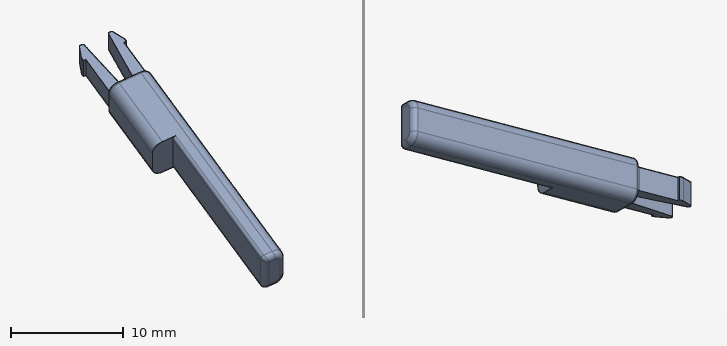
import cadquery as cq
import math

total_length = 30.0
body_size = 4.3
half_body = body_size / 2

body_start = 5.88
blade_start = 13.83
blade_face_y = -0.05
body_edge_radius = 1.02
body_front_radius = 0.27
blade_edge_radius = 0.3
blade_end_radius = 0.55

arm_height = body_size - 2 * body_edge_radius
arm_outer_y = 1.95
arm_root_overlap = 0.9
barb_span = 4.4
barb_y = barb_span / 2
barb_crest_start = 1.47
barb_back = 1.65
barb_crest_radius = 0.72
barb_slope = math.radians(22)
tip_corner_radius = 0.15
root_fillet_radius = 0.3

slot_tip_half_width = 1.25
slot_end_flat = 0.1
slot_end_radius = 0.65
slot_end_center_x = body_start - slot_end_radius
slot_end_center_y = slot_end_flat / 2


def make_body_and_blade():
    """Rounded square bar, cut away on its -Y side to leave the blade."""
    bar = (
        cq.Workplane("XY")
        .box(total_length - body_start, body_size, body_size, centered=(False, True, True))
        .translate((body_start, 0, 0))
        .edges("|X")
        .fillet(body_edge_radius)
        .faces("<X")
        .edges()
        .fillet(body_front_radius)
    )
    relief = cq.Workplane("XY").box(
        total_length - blade_start, half_body + blade_face_y, body_size, centered=(False, False, True)
    ).translate((blade_start, -half_body, 0))
    bar = bar.cut(relief)
    selection_margin = 0.03
    blade_edges = cq.selectors.BoxSelector(
        (blade_start + selection_margin, blade_face_y - selection_margin, -body_size),
        (total_length - selection_margin, blade_face_y + selection_margin, body_size),
    )
    bar = bar.edges(blade_edges).fillet(blade_edge_radius)
    return bar.faces(">X").edges().fillet(blade_end_radius)


def make_arm():
    """The +Y arm, with a ramped barb outside and half of the slot inside."""
    ramp_end_x = barb_crest_start - barb_crest_radius * math.sin(barb_slope)
    ramp_end_y = barb_y - barb_crest_radius * (1 - math.cos(barb_slope))
    crest_mid_x = barb_crest_start - barb_crest_radius * math.sin(barb_slope / 2)
    crest_mid_y = barb_y - barb_crest_radius * (1 - math.cos(barb_slope / 2))
    tip_outer_y = ramp_end_y - ramp_end_x * math.tan(barb_slope)

    tip_rise = slot_tip_half_width - slot_end_center_y
    tip_distance = math.hypot(slot_end_center_x, tip_rise)
    tip_angle = math.atan2(tip_rise, -slot_end_center_x)
    tangent_angle = tip_angle - math.acos(slot_end_radius / tip_distance)
    tangent_x = slot_end_center_x + slot_end_radius * math.cos(tangent_angle)
    tangent_y = slot_end_center_y + slot_end_radius * math.sin(tangent_angle)
    arc_mid_x = slot_end_center_x + slot_end_radius * math.cos(tangent_angle / 2)
    arc_mid_y = slot_end_center_y + slot_end_radius * math.sin(tangent_angle / 2)

    front_center_x = body_start + body_front_radius
    front_center_y = half_body - body_front_radius
    center_distance = root_fillet_radius + body_front_radius
    fillet_center_y = arm_outer_y + root_fillet_radius
    fillet_angle = math.asin((fillet_center_y - front_center_y) / center_distance)
    fillet_start_x = front_center_x - center_distance * math.cos(fillet_angle)
    fillet_end_x = front_center_x - body_front_radius * math.cos(fillet_angle)
    fillet_end_y = front_center_y + body_front_radius * math.sin(fillet_angle)
    root_x = body_start + arm_root_overlap

    arm = (
        cq.Workplane("XY", origin=(0, 0, -arm_height / 2))
        .moveTo(0, tip_outer_y)
        .lineTo(ramp_end_x, ramp_end_y)
        .threePointArc((crest_mid_x, crest_mid_y), (barb_crest_start, barb_y))
        .lineTo(barb_back, barb_y)
        .lineTo(barb_back, arm_outer_y)
        .lineTo(fillet_start_x, arm_outer_y)
        .tangentArcPoint((fillet_end_x, fillet_end_y), relative=False)
        .lineTo(root_x, fillet_end_y)
        .lineTo(root_x, 0)
        .lineTo(body_start, 0)
        .lineTo(body_start, slot_end_center_y)
        .threePointArc((arc_mid_x, arc_mid_y), (tangent_x, tangent_y))
        .lineTo(0, slot_tip_half_width)
        .close()
        .extrude(arm_height)
    )
    return arm.faces("<X").edges("|Z").fillet(tip_corner_radius)


arm = make_arm()
result = make_body_and_blade().union(arm).union(arm.mirror("XZ"))